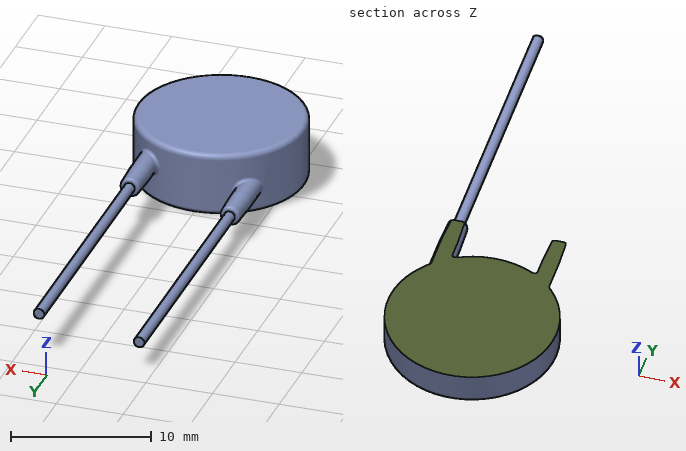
import cadquery as cq

BODY_DIAMETER = 12.5
BODY_HEIGHT = 4.8
BODY_EDGE_RADIUS = 0.4

LEAD_SPACING_X = 7.5
LEAD_STAGGER_Z = 1.0
WIRE_DIAMETER = 0.8
WIRE_LENGTH = 20.0

SLEEVE_DIAMETER = 1.6
SLEEVE_TIP_DIAMETER = 1.44
SLEEVE_TAPER_LENGTH = 2.2
SLEEVE_PROTRUSION = 3.0
SLEEVE_TIP_RADIUS = 0.2
SLEEVE_ROOT_RADIUS = 0.2

BODY_RADIUS = BODY_DIAMETER / 2
SLEEVE_TIP_Y = BODY_RADIUS + SLEEVE_PROTRUSION
TAPER_START_Y = SLEEVE_TIP_Y - SLEEVE_TAPER_LENGTH
WIRE_END_Y = SLEEVE_TIP_Y + WIRE_LENGTH
LEAD_ROOT_Y = BODY_RADIUS / 2


def make_body():
    """Disc with both rims rounded."""
    disc = cq.Workplane("XY").cylinder(BODY_HEIGHT, BODY_RADIUS)
    return disc.edges("%CIRCLE").fillet(BODY_EDGE_RADIUS)


def make_sleeve():
    """Sleeve revolved about the Y axis."""
    profile = (
        cq.Workplane("XY")
        .moveTo(0, LEAD_ROOT_Y)
        .lineTo(SLEEVE_DIAMETER / 2, LEAD_ROOT_Y)
        .lineTo(SLEEVE_DIAMETER / 2, TAPER_START_Y)
        .lineTo(SLEEVE_TIP_DIAMETER / 2, SLEEVE_TIP_Y)
        .lineTo(0, SLEEVE_TIP_Y)
        .close()
    )
    sleeve = profile.revolve(360, (0, 0, 0), (0, 1, 0))
    return sleeve.faces(">Y").edges().fillet(SLEEVE_TIP_RADIUS)


def make_wire():
    """Wire along the Y axis, from inside the body out to its free end."""
    free_end = cq.Workplane("XZ", origin=(0, WIRE_END_Y, 0))
    return free_end.circle(WIRE_DIAMETER / 2).extrude(WIRE_END_Y - LEAD_ROOT_Y)


def make_lead():
    """Sleeved wire lying on the Y axis."""
    return make_sleeve().union(make_wire())


def sleeve_root_edges(part):
    """Edges where the sleeves meet the body wall: the only ones that are neither circles nor straight."""
    return part.edges("not (%CIRCLE or %LINE)")


result = make_body()
for side in (-1, 1):
    offset = (side * LEAD_SPACING_X / 2, 0, side * LEAD_STAGGER_Z / 2)
    result = result.union(make_lead().translate(offset))
result = sleeve_root_edges(result).fillet(SLEEVE_ROOT_RADIUS)